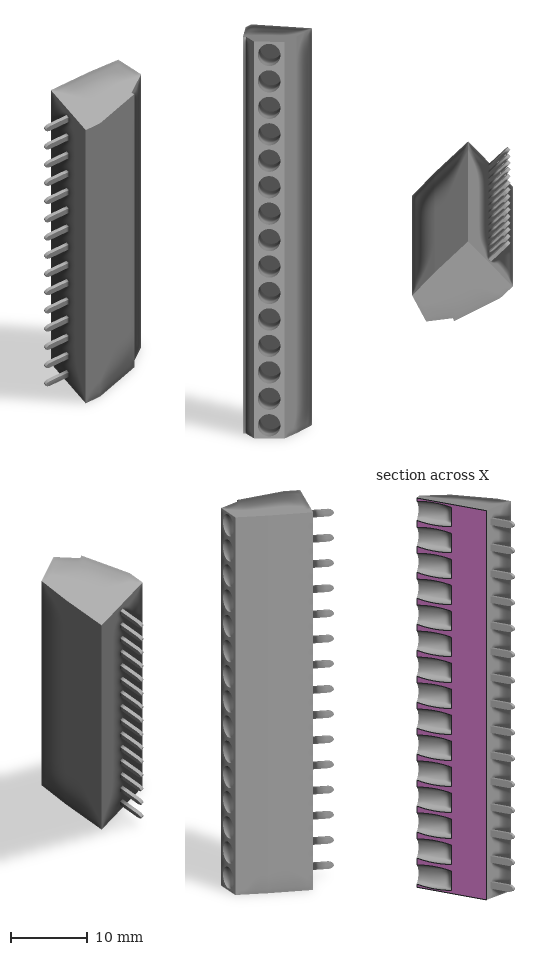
import cadquery as cq

length = 52.5
width = 8.4
pole_count = 15
pitch = length / pole_count

body_depth = 11.4
rear_kink_y = 6.05
shoulder_x = 0.2
shoulder_y = 10.3
peak_x = 4.0
notch_x = 6.1
notch_y = 8.55
lip_x = 6.45
lip_y = 8.75
front_kink_y = 2.2

entry_diameter = 2.95
entry_depth = 5.25

pin_x = 4.05
pin_thickness = 0.45
pin_width = 0.9
pin_length = 3.5
pin_tip_length = 0.8
pin_tip_width = 0.2
pin_tip_bulge = 0.08


def pole_heights():
    return [(i + 0.5) * pitch for i in range(pole_count)]


def make_housing():
    profile = [
        (0, 0),
        (0, rear_kink_y),
        (shoulder_x, shoulder_y),
        (peak_x, body_depth),
        (notch_x, notch_y),
        (lip_x, lip_y),
        (width, front_kink_y),
        (width, 0),
    ]
    return cq.Workplane("XY").polyline(profile).close().extrude(length)


def make_entry_hole(z):
    slope_x = peak_x - shoulder_x
    slope_y = body_depth - shoulder_y
    centre = cq.Vector((peak_x + shoulder_x) / 2, (body_depth + shoulder_y) / 2, z)
    inward = cq.Vector(slope_y, -slope_x, 0)
    return cq.Solid.makeCylinder(entry_diameter / 2, entry_depth, centre, inward)


def make_pin(z):
    half = pin_width / 2
    half_tip = pin_tip_width / 2
    tip_y = -pin_length
    taper_y = tip_y + pin_tip_length
    bow_y = (taper_y + tip_y) / 2 - pin_tip_bulge
    bow = (half + half_tip) / 2 + pin_tip_bulge
    plane = cq.Workplane("YZ", origin=(pin_x - pin_thickness / 2, 0, z))
    outline = (
        plane.moveTo(0, -half)
        .lineTo(taper_y, -half)
        .threePointArc((bow_y, -bow), (tip_y, -half_tip))
        .lineTo(tip_y, half_tip)
        .threePointArc((bow_y, bow), (taper_y, half))
        .lineTo(0, half)
        .close()
    )
    return outline.extrude(pin_thickness)


result = make_housing()
for z in pole_heights():
    result = result.cut(cq.Workplane(make_entry_hole(z))).union(make_pin(z))